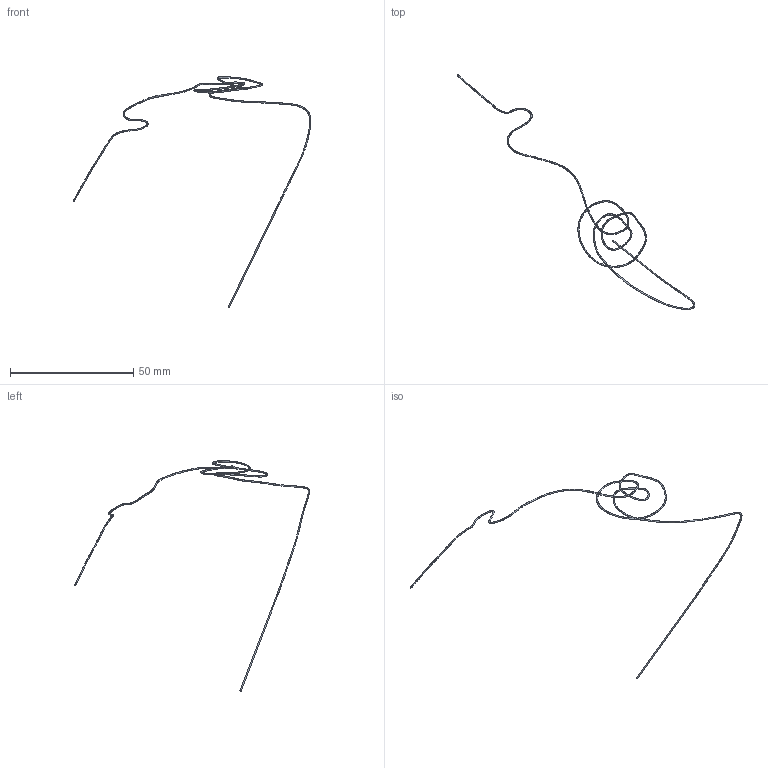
import cadquery as cq

WIRE_DIAMETER = 0.5

SHORT_TAIL = [
    (-48.1, 47.4, -3.8),
    (-42.5, 42.5, 6.3),
    (-36.6, 37.4, 16.0),
    (-33.5, 34.8, 20.9),
    (-31.3, 33.1, 23.3),
]
ZIGZAG = [
    (-29.9, 32.5, 24.1),
    (-28.2, 32.0, 24.6),
    (-25.2, 33.2, 25.1),
    (-22.5, 33.6, 25.4),
    (-19.9, 33.1, 26.1),
    (-18.1, 31.0, 27.6),
    (-19.1, 28.8, 28.8),
    (-22.9, 26.2, 29.3),
    (-25.4, 24.7, 29.5),
    (-27.5, 22.1, 30.8),
    (-27.7, 19.9, 32.3),
    (-24.5, 16.2, 34.8),
]
RISE_TO_COIL = [
    (-16.3, 13.8, 38.4),
    (-4.5, 9.6, 40.6),
    (0.5, 4.3, 42.3),
    (3.2, -3.0, 43.8),
    (7.1, -12.0, 43.9),
    (10.3, -15.8, 43.9),
]
COIL_ENTRY_HOOK = [
    (13.8, -17.2, 44.1),
    (17.0, -16.6, 44.5),
    (20.7, -14.2, 44.2),
    (21.1, -11.4, 43.9),
    (19.5, -8.3, 43.4),
]
WIDE_LOOP = [
    (14.6, -4.3, 42.5),
    (9.7, -4.2, 41.9),
    (4.9, -6.7, 41.5),
    (1.4, -12.2, 41.5),
    (1.2, -17.8, 41.2),
    (4.1, -24.3, 40.7),
    (9.7, -29.2, 40.6),
    (15.4, -30.4, 41.3),
    (20.7, -29.4, 42.0),
    (26.4, -23.9, 43.0),
    (28.3, -18.7, 43.7),
    (27.2, -15.0, 44.2),
    (24.3, -11.0, 45.1),
]
UPPER_LOOP = [
    (21.7, -8.6, 45.8),
    (16.2, -9.9, 46.5),
    (12.6, -12.0, 46.6),
    (10.5, -15.6, 46.5),
    (10.6, -19.1, 46.0),
    (12.2, -22.1, 45.0),
    (15.0, -23.5, 43.9),
    (17.8, -22.7, 43.0),
    (21.3, -19.7, 42.2),
    (22.4, -16.6, 41.9),
    (20.7, -14.0, 41.9),
]
COIL_EXIT = [
    (16.6, -10.1, 41.7),
    (13.2, -9.2, 41.3),
    (10.1, -11.0, 40.8),
    (7.6, -14.6, 40.2),
    (7.5, -20.7, 38.9),
]
LONG_SWEEP = [
    (9.7, -26.2, 38.3),
    (19.5, -36.1, 36.9),
    (29.6, -42.5, 36.4),
    (38.9, -46.5, 35.8),
]
LONG_TAIL_BEND = [
    (43.6, -47.4, 34.9),
    (46.9, -47.2, 32.7),
    (47.9, -46.3, 29.8),
    (47.5, -44.8, 24.9),
    (45.6, -43.1, 17.6),
    (40.9, -39.8, 7.1),
]
STRAIGHT_START = (33.8, -34.7, -7.5)
STRAIGHT_TIP = (14.9, -19.7, -46.5)

STRETCHES = [
    SHORT_TAIL,
    ZIGZAG,
    RISE_TO_COIL,
    COIL_ENTRY_HOOK,
    WIDE_LOOP,
    UPPER_LOOP,
    COIL_EXIT,
    LONG_SWEEP,
    LONG_TAIL_BEND,
]


def direction(start, end):
    """Unit vector from one point to another."""
    return (end - start).normalized()


def distances_along(points):
    """Running straight-line distance from the first point to each point."""
    distances = [0.0]
    for start, end in zip(points, points[1:]):
        distances.append(distances[-1] + (end - start).Length)
    return distances


def smooth_curve(points, start_direction, end_direction):
    """Curve through the points with the given directions at its ends."""
    return cq.Edge.makeSpline(
        points,
        tangents=[start_direction, end_direction],
        parameters=distances_along(points),
        scale=False,
    )


def wire_centerline():
    """One curve per stretch, tangent where they meet, then the straight end of the long tail."""
    route = [cq.Vector(*point) for stretch in STRETCHES for point in stretch]
    straight_start = cq.Vector(*STRAIGHT_START)
    straight_tip = cq.Vector(*STRAIGHT_TIP)
    route.append(straight_start)

    headings = [direction(route[0], route[1])]
    for behind, ahead in zip(route, route[2:]):
        headings.append(direction(behind, ahead))
    headings.append(direction(straight_start, straight_tip))

    edges = []
    first = 0
    for stretch in STRETCHES:
        last = first + len(stretch)
        edges.append(smooth_curve(route[first : last + 1], headings[first], headings[last]))
        first = last

    edges.append(cq.Edge.makeLine(straight_start, straight_tip))
    return cq.Wire.assembleEdges(edges)


def round_wire(centerline):
    """Solid round wire swept along its centerline."""
    end_plane = cq.Plane(origin=centerline.startPoint(), normal=centerline.tangentAt(0))
    return cq.Workplane(end_plane).circle(WIRE_DIAMETER / 2).sweep(centerline)


result = round_wire(wire_centerline())